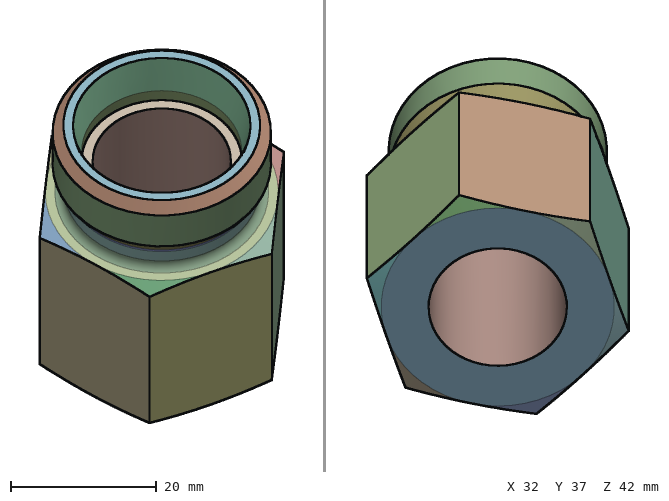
import cadquery as cq
import math

total_height = 42.0
hex_sides = 6
hex_across_flats = 32.0
hex_height = 27.97
hex_chamfer_angle = 15.0
cone_margin = 0.4

collar_diameter = 30.0
neck_diameter = 27.0
collar_bottom = 33.98
collar_underside_angle = 30.0
underside_blend_radius = 1.0
neck_root_radius = 1.18

bore_diameter = 19.0
seat_diameter = 22.0
mouth_diameter = 24.35
seat_depth = 7.5
mouth_half_angle = 12.0

flat_radius = hex_across_flats / 2
corner_radius = flat_radius / math.cos(math.pi / hex_sides)
collar_radius = collar_diameter / 2
neck_radius = neck_diameter / 2
collar_step = collar_radius - neck_radius
underside_height = collar_step / math.tan(math.radians(collar_underside_angle))
neck_top = collar_bottom - underside_height
mouth_depth = (mouth_diameter - seat_diameter) / 2 / math.tan(math.radians(mouth_half_angle))


def revolve_profile(profile):
    """Revolve a closed radius-height profile about the Z axis."""
    return profile.close().revolve(360, (0, 0, 0), (0, 1, 0))


def make_hexagon():
    """Hexagon with corners on Y, its corners chamfered at both ends."""
    prism = (
        cq.Workplane("XY")
        .polygon(hex_sides, 2 * corner_radius)
        .extrude(hex_height)
        .rotate((0, 0, 0), (0, 0, 1), 180 / hex_sides)
    )
    cone_radius = corner_radius + cone_margin
    cone_drop = (cone_radius - flat_radius) * math.tan(math.radians(hex_chamfer_angle))
    envelope = revolve_profile(
        cq.Workplane("XZ")
        .moveTo(0, 0)
        .lineTo(flat_radius, 0)
        .lineTo(cone_radius, cone_drop)
        .lineTo(cone_radius, hex_height - cone_drop)
        .lineTo(flat_radius, hex_height)
        .lineTo(0, hex_height)
    )
    return prism.intersect(envelope)


def make_collar():
    """Neck with a filleted root, tapering out to the chamfered collar."""
    underside_angle = math.radians(collar_underside_angle)
    tangent_length = underside_blend_radius * math.tan(underside_angle / 2)
    blend_start = (neck_radius, neck_top - tangent_length)
    blend_middle = (
        neck_radius + underside_blend_radius * (1 - math.cos(underside_angle / 2)),
        blend_start[1] + underside_blend_radius * math.sin(underside_angle / 2),
    )
    blend_end = (
        neck_radius + tangent_length * math.sin(underside_angle),
        neck_top + tangent_length * math.cos(underside_angle),
    )
    root_offset = neck_root_radius * (1 - math.sqrt(0.5))
    return revolve_profile(
        cq.Workplane("XZ")
        .moveTo(0, hex_height)
        .lineTo(neck_radius + neck_root_radius, hex_height)
        .threePointArc(
            (neck_radius + root_offset, hex_height + root_offset),
            (neck_radius, hex_height + neck_root_radius),
        )
        .lineTo(*blend_start)
        .threePointArc(blend_middle, blend_end)
        .lineTo(collar_radius, collar_bottom)
        .lineTo(collar_radius, total_height - collar_step)
        .lineTo(neck_radius, total_height)
        .lineTo(0, total_height)
    )


def make_bore():
    """Through bore with a cylindrical seat and a conical mouth at the top."""
    return revolve_profile(
        cq.Workplane("XZ")
        .moveTo(0, 0)
        .lineTo(bore_diameter / 2, 0)
        .lineTo(bore_diameter / 2, total_height - seat_depth)
        .lineTo(seat_diameter / 2, total_height - seat_depth)
        .lineTo(seat_diameter / 2, total_height - mouth_depth)
        .lineTo(mouth_diameter / 2, total_height)
        .lineTo(0, total_height)
    )


result = make_hexagon().union(make_collar()).cut(make_bore())